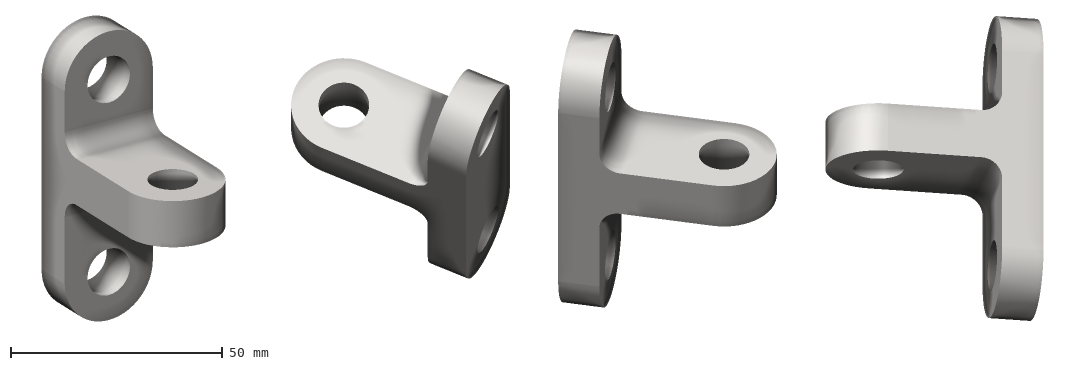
import cadquery as cq

plate_height = 75.0
width = plate_height / 3
total_length = 2 * width
plate_thickness = 10.0
arm_thickness = 12.0
arm_offset = 3.4
hole_diameter = 12.0
fillet_radius = 5.0

end_radius = width / 2
plate_hole_spacing = plate_height - width
arm_hole_x = total_length - end_radius
arm_bottom = arm_offset - arm_thickness / 2


def make_plate():
    """Upright round-ended plate with its back face on X = 0."""
    return (
        cq.Workplane("YZ")
        .slot2D(plate_height, width, 90)
        .extrude(plate_thickness)
    )


def make_arm():
    """Horizontal arm along +X with a round tip."""
    return (
        cq.Workplane("XY", origin=(0, 0, arm_bottom))
        .moveTo(0, -end_radius)
        .lineTo(arm_hole_x, -end_radius)
        .threePointArc((total_length, 0), (arm_hole_x, end_radius))
        .lineTo(0, end_radius)
        .close()
        .extrude(arm_thickness)
    )


def make_plate_holes():
    """Cutters for the two holes at the plate's round ends."""
    return (
        cq.Workplane("YZ")
        .pushPoints([(0, side * plate_hole_spacing / 2) for side in (-1, 1)])
        .circle(hole_diameter / 2)
        .extrude(plate_thickness)
    )


def make_arm_hole():
    """Cutter for the hole concentric with the arm's round tip."""
    return (
        cq.Workplane("XY", origin=(arm_hole_x, 0, arm_bottom))
        .circle(hole_diameter / 2)
        .extrude(arm_thickness)
    )


body = make_plate().union(make_arm())
selection_margin = 0.75
corner_edges = cq.selectors.BoxSelector(
    (plate_thickness - selection_margin, -width, arm_bottom - selection_margin),
    (plate_thickness + selection_margin, width, arm_bottom + arm_thickness + selection_margin),
)
body = body.edges("|Y").edges(corner_edges).fillet(fillet_radius)

result = body.cut(make_plate_holes()).cut(make_arm_hole())